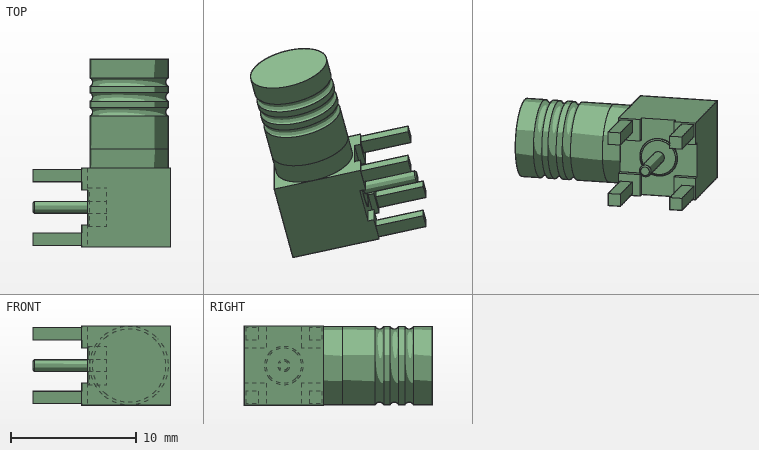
import cadquery as cq


BLOCK_SIZE = 6.35
BLOCK_LENGTH = 7.1
BLOCK_RIGHT_X = 3.31
BLOCK_LEFT_X = BLOCK_RIGHT_X - BLOCK_LENGTH
BLOCK_BACK_Y = BLOCK_SIZE / 2
STANDOFF_HEIGHT = 0.48
CHANNEL_WIDTH = 2.78
CHANNEL_FLOOR_X = BLOCK_LEFT_X + STANDOFF_HEIGHT

LEG_WIDTH = 1.01
LEG_LENGTH = 3.9
LEG_SPACING = 5.09

BARREL_RADIUS = 6.29 / 2
OVERALL_LENGTH = 15.05
NECK_LENGTH = 1.5
SLEEVE_START_Y = BLOCK_BACK_Y + NECK_LENGTH
SLEEVE_LENGTH = OVERALL_LENGTH - BLOCK_SIZE - NECK_LENGTH
SLEEVE_END_Y = SLEEVE_START_Y + SLEEVE_LENGTH

GROOVE_COUNT = 3
GROOVE_WIDTH = 0.69
GROOVE_DEPTH = 0.21
GROOVE_SPACING = 1.19
END_LAND = 1.5

PLUG_RADIUS = 3.09 / 2
PLUG_DEPTH = 1.5
PLUG_CHAMFER = 0.14
PLUG_INNER_X = CHANNEL_FLOOR_X + PLUG_DEPTH
PIN_RADIUS = 0.96 / 2
PIN_TIP_X = BLOCK_LEFT_X - LEG_LENGTH
PIN_CHAMFER = 0.12


def x_cylinder(start_x, end_x, radius):
    """Cylinder on the pin axis."""
    return cq.Workplane("YZ", origin=(start_x, 0, 0)).circle(radius).extrude(end_x - start_x)


def box_from_left(left_x, length, width_y, width_z):
    """Box centred on the pin axis, starting at left_x."""
    box = cq.Workplane("YZ", origin=(left_x, 0, 0))
    return box.rect(width_y, width_z).extrude(length)


def make_housing():
    """Block with neck, crossed channels, four legs and a recess for the plug."""
    block = box_from_left(BLOCK_LEFT_X, BLOCK_LENGTH, BLOCK_SIZE, BLOCK_SIZE)

    channel_along_z = box_from_left(BLOCK_LEFT_X, STANDOFF_HEIGHT, CHANNEL_WIDTH, BLOCK_SIZE)
    channel_along_y = box_from_left(BLOCK_LEFT_X, STANDOFF_HEIGHT, BLOCK_SIZE, CHANNEL_WIDTH)
    block = block.cut(channel_along_z).cut(channel_along_y)

    legs = (
        cq.Workplane("YZ", origin=(BLOCK_LEFT_X, 0, 0))
        .rarray(LEG_SPACING, LEG_SPACING, 2, 2)
        .rect(LEG_WIDTH, LEG_WIDTH)
        .extrude(-LEG_LENGTH)
    )
    neck = cq.Workplane("XZ", origin=(0, BLOCK_BACK_Y, 0)).circle(BARREL_RADIUS).extrude(-NECK_LENGTH)
    plug_recess = x_cylinder(CHANNEL_FLOOR_X, PLUG_INNER_X, PLUG_RADIUS)
    return block.union(legs).union(neck).cut(plug_recess)


def make_sleeve():
    """Revolved sleeve with evenly spaced round-bottomed grooves."""
    profile = (
        cq.Workplane("XY")
        .moveTo(0, SLEEVE_START_Y)
        .lineTo(0, SLEEVE_END_Y)
        .lineTo(BARREL_RADIUS, SLEEVE_END_Y)
    )
    for index in range(GROOVE_COUNT):
        groove_top_y = SLEEVE_END_Y - END_LAND - index * GROOVE_SPACING
        groove_bottom_y = groove_top_y - GROOVE_WIDTH
        groove_middle = (BARREL_RADIUS - GROOVE_DEPTH, groove_top_y - GROOVE_WIDTH / 2)
        profile = profile.lineTo(BARREL_RADIUS, groove_top_y)
        profile = profile.threePointArc(groove_middle, (BARREL_RADIUS, groove_bottom_y))
    profile = profile.lineTo(BARREL_RADIUS, SLEEVE_START_Y).close()
    return profile.revolve(360, (0, 0, 0), (0, 1, 0))


def make_plug():
    """Disc flush with the channel floor, chamfered outside and bored for the pin."""
    disc = x_cylinder(CHANNEL_FLOOR_X, PLUG_INNER_X, PLUG_RADIUS)
    disc = disc.faces("<X").edges().chamfer(PLUG_CHAMFER)
    return disc.cut(x_cylinder(CHANNEL_FLOOR_X, PLUG_INNER_X, PIN_RADIUS))


def make_pin():
    """Round contact pin running through the plug, chamfered at its tip."""
    pin = x_cylinder(PIN_TIP_X, PLUG_INNER_X, PIN_RADIUS)
    return pin.faces("<X").edges().chamfer(PIN_CHAMFER)


housing = make_housing()
sleeve = make_sleeve()
plug = make_plug()
pin = make_pin()

result = cq.Compound.makeCompound([housing.val(), sleeve.val(), plug.val(), pin.val()])